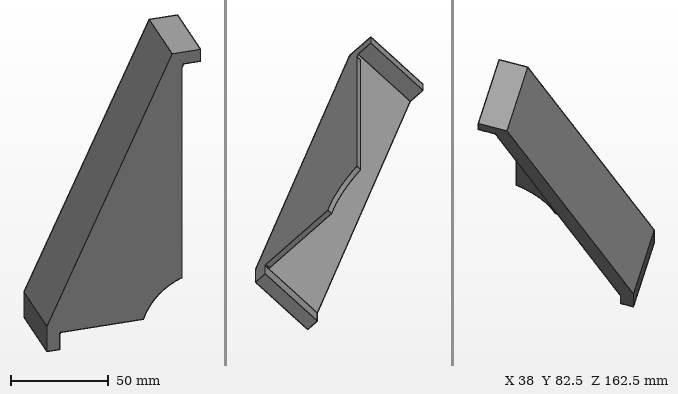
import cadquery as cq
import math

width = 38.0
depth = 82.5
height = 162.5

flange_thickness = 7.0
front_face_height = 14.8
top_face_depth = 15.3
inner_foot_height = 9.1
inner_top_inset = 9.1

gusset_thickness = 2.8
gusset_bottom = 9.9
gusset_back = 72.6
notch_leg = 20.8
notch_bulge = 3.4

inner_foot = (flange_thickness, inner_foot_height)
inner_top = (depth - inner_top_inset, height - flange_thickness)


def slope_height(y):
    """Height of the plate's inner face at depth y."""
    slope = (inner_top[1] - inner_foot[1]) / (inner_top[0] - inner_foot[0])
    return inner_foot[1] + slope * (y - inner_foot[0])


def slope_depth(z):
    """Depth of the plate's inner face at height z."""
    slope = (inner_top[0] - inner_foot[0]) / (inner_top[1] - inner_foot[1])
    return inner_foot[0] + slope * (z - inner_foot[1])


def make_plate():
    """Sloped plate, full width, with its foot and top flange."""
    outline = [
        (0, 0),
        (flange_thickness, 0),
        inner_foot,
        inner_top,
        (depth, height - flange_thickness),
        (depth, height),
        (depth - top_face_depth, height),
        (0, front_face_height),
    ]
    return cq.Workplane("YZ").polyline(outline).close().extrude(width / 2, both=True)


def make_gusset():
    """Triangular rib flush with the +X side, with a concave arc across its lower back corner."""
    offset = notch_bulge / math.sqrt(2)
    arc_middle = (
        gusset_back - notch_leg / 2 - offset,
        gusset_bottom + notch_leg / 2 + offset,
    )
    return (
        cq.Workplane("YZ", origin=(width / 2 - gusset_thickness, 0, 0))
        .moveTo(slope_depth(gusset_bottom), gusset_bottom)
        .lineTo(gusset_back - notch_leg, gusset_bottom)
        .threePointArc(arc_middle, (gusset_back, gusset_bottom + notch_leg))
        .lineTo(gusset_back, slope_height(gusset_back))
        .close()
        .extrude(gusset_thickness)
    )


bracket = make_plate().union(make_gusset())
result = bracket.translate((0, -depth / 2, -height / 2))